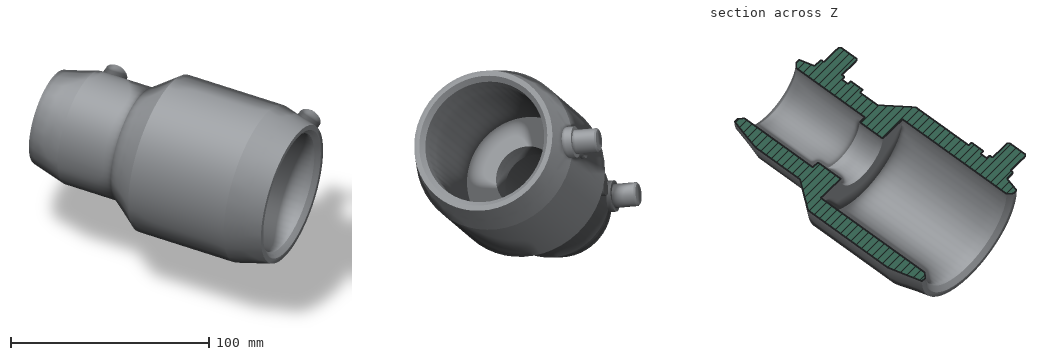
import cadquery as cq

length = 135.0
small_radius = 30.0
large_radius = 41.6
small_end_radius = 25.0
large_end_radius = 36.6
small_taper_end = 18.4
shoulder_start = 47.9
shoulder_end = 63.3
large_taper_start = 116.5

small_socket_radius = 20.0
large_socket_radius = 31.5
bore_radius = 16.0
mouth_chamfer = 2.4

collar_radius = 8.0
collar_height = 2.2
collar_depth = 5.7
pin_radius = 6.1
pin_height = 14.5
pin_chamfer = 0.8
indicator_radius = 4.0
indicator_height = 2.2
terminal_inset = 16.3
indicator_inset = 32.3


def outer_body():
    return (
        cq.Workplane("XY")
        .polyline([
            (0, 0),
            (0, small_end_radius),
            (small_taper_end, small_radius),
            (shoulder_start, small_radius),
            (shoulder_end, large_radius),
            (large_taper_start, large_radius),
            (length, large_end_radius),
            (length, 0),
        ])
        .close()
        .revolve(360, (0, 0, 0), (1, 0, 0))
    )


def inner_cavity():
    return (
        cq.Workplane("XY")
        .polyline([
            (0, 0),
            (0, small_socket_radius + mouth_chamfer),
            (mouth_chamfer, small_socket_radius),
            (shoulder_start, small_socket_radius),
            (shoulder_start, bore_radius),
            (shoulder_end, bore_radius),
            (shoulder_end, large_socket_radius),
            (length - mouth_chamfer, large_socket_radius),
            (length, large_socket_radius + mouth_chamfer),
            (length, 0),
        ])
        .close()
        .revolve(360, (0, 0, 0), (1, 0, 0))
    )


def post(x, bottom, top, radius):
    """Round post along +Y between two distances from the coupler axis."""
    return cq.Workplane("XZ", origin=(x, bottom, 0)).circle(radius).extrude(bottom - top)


def terminal(x, barrel_radius):
    bottom = barrel_radius - collar_depth
    collar = post(x, bottom, barrel_radius + collar_height, collar_radius)
    pin = post(x, bottom, barrel_radius + pin_height, pin_radius)
    return collar.union(pin.faces(">Y").chamfer(pin_chamfer))


def indicator(x, barrel_radius):
    bottom = barrel_radius - collar_depth
    return post(x, bottom, barrel_radius + indicator_height, indicator_radius)


result = outer_body().cut(inner_cavity())
for end_x, inward, barrel_radius in [(0, 1, small_radius), (length, -1, large_radius)]:
    result = result.union(terminal(end_x + inward * terminal_inset, barrel_radius))
    result = result.union(indicator(end_x + inward * indicator_inset, barrel_radius))